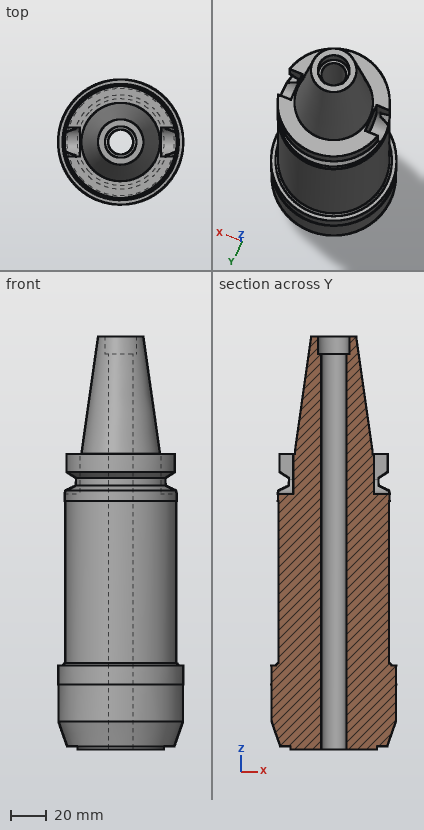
import cadquery as cq

height = 232.5

taper_top_radius = 12.8
taper_base_radius = 22.0
flange_radius = 31.5
groove_radius = 26.5
body_radius = 31.4
shoulder_radius = 32.8
ring_radius = 35.3
nut_radius = 35.0
nut_end_radius = 30.2
nose_radius = 24.5
bore_radius = 7.0
thread_radius = 8.8

taper_depth = 65.3
flange_top = 66.0
groove_upper_edge = 76.2
groove_floor_top = 79.7
groove_floor_bottom = 84.0
groove_lower_edge = 86.7
collar_bottom = 92.5
body_bottom = 183.5
ring_top = 185.0
ring_bottom = 195.7
nut_bevel_top = 216.5
nut_end = 230.5
thread_depth = 9.8

slot_width = 16.3
slot_bottom = 88.5
slot_floor_distance = 22.8


def turned_body():
    """Revolve the half outline, listed as (radius, distance down from the top)."""
    outline = [
        (0, 0),
        (taper_top_radius, 0),
        (taper_base_radius, taper_depth),
        (taper_base_radius, flange_top),
        (flange_radius, flange_top),
        (flange_radius, groove_upper_edge),
        (groove_radius, groove_floor_top),
        (groove_radius, groove_floor_bottom),
        (flange_radius, groove_lower_edge),
        (flange_radius, collar_bottom),
        (body_radius, collar_bottom),
        (body_radius, body_bottom),
        (shoulder_radius, ring_top),
        (ring_radius, ring_top),
        (ring_radius, ring_bottom),
        (nut_radius, ring_bottom),
        (nut_radius, nut_bevel_top),
        (nut_end_radius, nut_end),
        (nose_radius, nut_end),
        (nose_radius, height),
        (0, height),
    ]
    points = [(radius, height - depth) for radius, depth in outline]
    return cq.Workplane("XZ").polyline(points).close().revolve(360, (0, 0), (0, 1))


def stepped_bore():
    """Through bore with a wider threaded entry at the top."""
    through = cq.Workplane("XY").circle(bore_radius).extrude(height)
    entry_floor = cq.Workplane("XY", origin=(0, 0, height - thread_depth))
    entry = entry_floor.circle(thread_radius).extrude(thread_depth)
    return through.union(entry)


def drive_slot(side):
    """Round-bottomed slot, open at the flange top, on the side -1 or +1 of X."""
    half_width = slot_width / 2
    floor = height - slot_bottom
    top = height - flange_top
    return (
        cq.Workplane("YZ", origin=(side * slot_floor_distance, 0, 0))
        .moveTo(-half_width, top)
        .lineTo(-half_width, floor + half_width)
        .threePointArc((0, floor), (half_width, floor + half_width))
        .lineTo(half_width, top)
        .close()
        .extrude(side * (ring_radius - slot_floor_distance))
    )


result = turned_body().cut(stepped_bore())
for side in (-1, 1):
    result = result.cut(drive_slot(side))